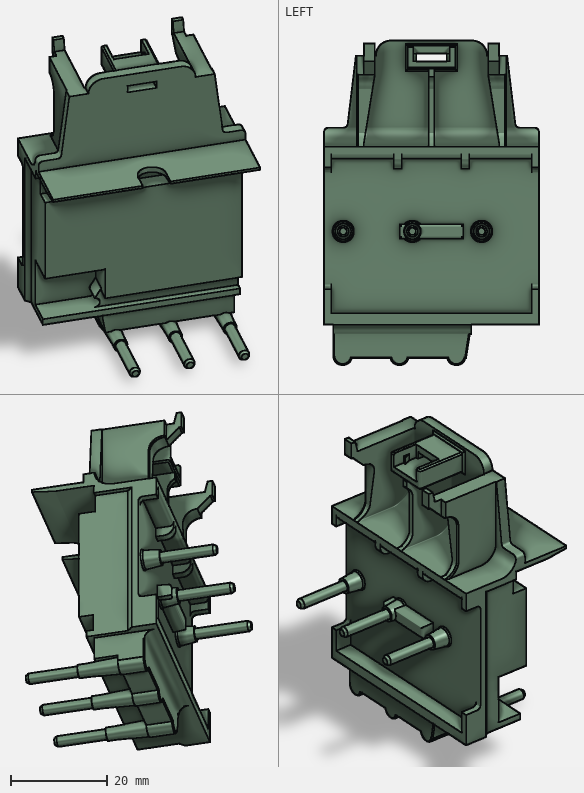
import cadquery as cq
import math


WIDTH = 44.8
HALF_WIDTH = WIDTH / 2
RIM_DEPTH = 5.3
SIDE_INSET = 1.06
STEP_TOP = 35.4
SHELF_TOP = 37.0
WALL_FRONT = 13.4
WALL_BACK = 15.7
BASE_BACK = 16.9
BASE_BACK_TOP = 31.4
BASE_BACK_BOTTOM = 5.3
FOOT_BACK = 15.3
FOOT_THICKNESS = 1.45
UNDERCUT_X = 9.55
UNDERCUT_TOP = 12.5
TERMINAL_END_Y = -8.3
TERMINAL_BACK = 13.85

RECESS_DEPTH = 3.86
RECESS_TOP = 34.5
RECESS_LIP_RADIUS = 0.95
RECESS_BOTTOM = 2.4
SIDE_RIM = 1.5
SIDE_GAP_BOTTOM = 7.4
SIDE_GAP_TOP = 32.7
SIDE_GAP_RADIUS = 1.0
TAB_WIDTH = 1.7
TAB_Y = 7.05
TAB_BOTTOM = 32.4

WALL_TOP = 59.15
WALL_CORNER = 3.2
WALL_TOP_HALF = 11.6
SHOULDER_TOP = 41.0
SHOULDER_ROUND = 1.0
FLARE_FOOT_HALF = 17.45
FLARE_TOP_HALF = 15.75
FLARE_RADIUS = 0.9
SHELF_FILLET = SHOULDER_TOP - SHELF_TOP
FLANGE_END = 26.75
FLANGE_TOP = 38.5
FLANGE_THICKNESS = 1.25
FLANGE_BOTTOM = FLANGE_TOP - FLANGE_THICKNESS
FLANGE_TIP_THICKNESS = 0.6
FLANGE_TAPER_START = 21.8
FLANGE_SLOT_RADIUS = 3.0
FLANGE_SLOT_X = 23.3

ARM_TOP = 56.0
ARM_OUTER = 15.6
ARM_EDGE_CHAMFER = 0.4
ARM_EDGE_DEPTH = 0.2
ARM_INNER_TOP = 11.8
ARM_INNER_FOOT = 14.2
ARM_SLOPE_TOP = 52.0
RIB_FRONT = 3.25
WAIST_TOP = 49.0
WAIST_BOTTOM = 39.9
WAIST_BEND_X = 2.05
WAIST_BEND_RISE = 0.9
HOOK_TIP = -3.25
HOOK_TOP = 58.55
HOOK_BOTTOM = 54.85
HOOK_INNER = ARM_INNER_TOP
HOOK_OUTER = 14.05
HOOK_FLAT = 0.45
HOOK_TOP_DEPTH = 1.05
HOOK_FOOT_DEPTH = 1.65
RIB_THICKNESS = 1.15
ROOT_FILLET = 0.3

BOX_FRONT = 1.65
BOX_HALF = 4.9
BOX_TOP = 58.05
BOX_BOTTOM = 53.2
BOX_ROOT_STEP = 0.45
BOX_ROOT_CHAMFER = 0.4
BOX_EDGE_CHAMFER = 0.35
BOX_FRONT_FILLET = 0.5
POCKET_HALF = 3.78
POCKET_BACK = 7.6
POCKET_FLOOR = 54.8
WINDOW_HALF = 3.15
WINDOW_TOP = 56.4
BARB_FRONT = 4.25
BARB_BACK = 5.8

SKIRT_LEFT = 20.5
SKIRT_RIGHT_FOOT = -7.2
SKIRT_BOTTOM = -7.0
SKIRT_BACK = 8.8
SKIRT_FILLET = 2.0
SKIRT_FRONT = 3.05
SKIRT_EDGE_CHAMFER = 0.25
TERMINAL_BOTTOM = -5.25
TERMINAL_KNEE = -1.6
TERMINAL_UPPER_Y = -8.0
TERMINAL_LOWER_Y = -7.4
CHEEK_TOP = 5.9
CHEEK_DEPTH = 1.4
CHEEK_OVERLAP = 1.0
GROOVE_RADIUS = 1.1
LOWER_PITCH = 11.83
LOWER_FIRST_Y = 18.5
LOWER_Z = -6.5
LOBE_RADIUS = 1.95
SLEEVE_RADIUS = 1.8
SLEEVE_TIP_RADIUS = 1.45
SLEEVE_CONE_END = 15.8
SLEEVE_END = 17.65
UPPER_PITCH = 14.4
UPPER_FIRST_Y = 18.38
UPPER_Z = 19.4
UPPER_SLEEVE_RADIUS = 2.05
UPPER_SLEEVE_FLARE = 0.2
UPPER_SLEEVE_TIP_RADIUS = 1.65
UPPER_SLEEVE_FLARE_LENGTH = 0.4
PIN_RADIUS = 1.15
PIN_CHAMFER_LENGTH = 0.65
PIN_CHAMFER_DEPTH = 0.4
UPPER_PIN_TIP = -12.0
LOWER_PIN_TIP = 28.9
LINK_X = 6.0
POLES = 3
UPPER_YS = [UPPER_FIRST_Y - i * UPPER_PITCH for i in range(POLES)]
LOWER_YS = [LOWER_FIRST_Y - i * LOWER_PITCH for i in range(POLES)]

KEY_HALF_LENGTH = 6.65
KEY_HEIGHT = 3.0
KEY_FRONT = 1.0
KEY_DRAFT = 3
KEY_EDGE_FILLET = 0.35


def box(x0, x1, y0, y1, z0, z1):
    """Box between the given limits."""
    return cq.Workplane("XY").box(x1 - x0, y1 - y0, z1 - z0, centered=False).translate((x0, y0, z0))


def side_profile(y0, y1):
    """Sketch plane XZ at y1; extruding by y1 - y0 fills the range y0 to y1."""
    return cq.Workplane("XZ", origin=(0, y1, 0)), y1 - y0


def both_sides(half):
    """A feature together with its mirror image across the middle plane."""
    return half.union(half.mirror("XZ"))


def cone(x0, r0, x1, r1, y, z):
    """Round bar along X whose radius goes from r0 at x0 to r1 at x1."""
    return (
        cq.Workplane("XY")
        .polyline([(x0, 0), (x0, r0), (x1, r1), (x1, 0)])
        .close()
        .revolve(360, (0, 0, 0), (1, 0, 0))
        .translate((0, y, z))
    )


def make_base():
    rim = box(0, RIM_DEPTH, -HALF_WIDTH, HALF_WIDTH, 0, SHELF_TOP)
    shelf = box(0, WALL_FRONT, -HALF_WIDTH, HALF_WIDTH, STEP_TOP, SHELF_TOP)
    inner = HALF_WIDTH - SIDE_INSET
    outline = [
        (RIM_DEPTH, -HALF_WIDTH),
        (RIM_DEPTH + SIDE_INSET, -inner),
        (BASE_BACK, -inner),
        (BASE_BACK, inner),
        (RIM_DEPTH + SIDE_INSET, inner),
        (RIM_DEPTH, HALF_WIDTH),
    ]
    core = cq.Workplane("XY").polyline(outline).close().extrude(STEP_TOP)
    core = core.cut(box(WALL_FRONT, BASE_BACK, -HALF_WIDTH, HALF_WIDTH, BASE_BACK_TOP, STEP_TOP))
    core = core.cut(box(FOOT_BACK, BASE_BACK, -HALF_WIDTH, HALF_WIDTH, 0, BASE_BACK_BOTTOM))
    core = core.cut(
        box(TERMINAL_BACK, BASE_BACK, -HALF_WIDTH, HALF_WIDTH, FOOT_THICKNESS, BASE_BACK_BOTTOM)
    )
    core = core.cut(
        box(UNDERCUT_X, BASE_BACK, -HALF_WIDTH, TERMINAL_END_Y, FOOT_THICKNESS, UNDERCUT_TOP)
    )
    return rim.union(shelf).union(core)


def make_lip(y0, y1, z, radius):
    """Space to remove so that the front lower edge at height z becomes round."""
    plane, length = side_profile(y0, y1)
    return (
        plane.moveTo(0, z)
        .lineTo(radius, z)
        .radiusArc((0, z + radius), radius)
        .close()
        .extrude(length)
    )


def make_recess():
    """Space to remove from the front of the base, with the tabs left standing."""
    inner = HALF_WIDTH - SIDE_RIM
    recess = box(0, RECESS_DEPTH, -inner, inner, RECESS_BOTTOM, RECESS_TOP)
    recess = recess.union(make_lip(-inner, inner, RECESS_TOP, RECESS_LIP_RADIUS))
    side_gap = box(0, RECESS_DEPTH, -HALF_WIDTH, HALF_WIDTH, SIDE_GAP_BOTTOM, SIDE_GAP_TOP)
    side_gap = side_gap.edges("|Y and >X").fillet(SIDE_GAP_RADIUS)
    recess = recess.union(side_gap)
    for y in (-TAB_Y, TAB_Y):
        y0 = y - TAB_WIDTH / 2
        y1 = y + TAB_WIDTH / 2
        tab = box(0, RECESS_DEPTH, y0, y1, TAB_BOTTOM, SHELF_TOP)
        recess = recess.cut(tab.cut(make_lip(y0, y1, TAB_BOTTOM, RECESS_TOP - TAB_BOTTOM)))
    return recess


def make_wall():
    """Upright wall with flared sides and rounded shoulders."""
    half = (
        cq.Workplane("YZ", origin=(WALL_FRONT, 0, 0))
        .moveTo(0, FLANGE_BOTTOM)
        .lineTo(HALF_WIDTH, FLANGE_BOTTOM)
        .lineTo(HALF_WIDTH, SHOULDER_TOP - SHOULDER_ROUND)
        .radiusArc((HALF_WIDTH - SHOULDER_ROUND, SHOULDER_TOP), -SHOULDER_ROUND)
        .lineTo(FLARE_FOOT_HALF + FLARE_RADIUS, SHOULDER_TOP)
        .radiusArc((FLARE_FOOT_HALF, SHOULDER_TOP + FLARE_RADIUS), FLARE_RADIUS)
        .lineTo(FLARE_TOP_HALF, ARM_TOP)
        .lineTo(WALL_TOP_HALF, ARM_TOP)
        .lineTo(WALL_TOP_HALF, WALL_TOP - WALL_CORNER)
        .radiusArc((WALL_TOP_HALF - WALL_CORNER, WALL_TOP), -WALL_CORNER)
        .lineTo(0, WALL_TOP)
        .close()
        .extrude(WALL_BACK - WALL_FRONT)
    )
    return both_sides(half)


def make_shelf_fillet(y0, y1):
    """Hollow round between the shelf and the wall."""
    plane, length = side_profile(y0, y1)
    return (
        plane.moveTo(WALL_FRONT, SHELF_TOP)
        .lineTo(WALL_FRONT - SHELF_FILLET, SHELF_TOP)
        .radiusArc((WALL_FRONT, SHOULDER_TOP), -SHELF_FILLET)
        .close()
        .extrude(length)
    )


def make_full_shelf_fillet():
    """Hollow round over the full width, its ends rounded like the shoulders of the wall."""
    rounded = box(0, WALL_FRONT, -HALF_WIDTH, HALF_WIDTH, 0, SHOULDER_TOP)
    rounded = rounded.edges("|X and >Z").fillet(SHOULDER_ROUND)
    return make_shelf_fillet(-HALF_WIDTH, HALF_WIDTH).intersect(rounded)


def make_flange():
    plane, length = side_profile(-HALF_WIDTH, HALF_WIDTH)
    flange = (
        plane.moveTo(WALL_FRONT, FLANGE_TOP)
        .lineTo(FLANGE_END, FLANGE_TOP)
        .lineTo(FLANGE_END, FLANGE_TOP - FLANGE_TIP_THICKNESS)
        .lineTo(FLANGE_TAPER_START, FLANGE_BOTTOM)
        .lineTo(WALL_FRONT, FLANGE_BOTTOM)
        .close()
        .extrude(length)
    )
    slot = (
        cq.Workplane("XY", origin=(FLANGE_SLOT_X, 0, FLANGE_BOTTOM))
        .circle(FLANGE_SLOT_RADIUS)
        .extrude(FLANGE_THICKNESS)
    )
    slot = slot.union(
        box(FLANGE_SLOT_X, FLANGE_END, -FLANGE_SLOT_RADIUS, FLANGE_SLOT_RADIUS, FLANGE_BOTTOM, FLANGE_TOP)
    )
    return flange.cut(slot)


def make_waisted_plate(outline, top, root_limit):
    """Plate in front of the wall with the given YZ outline.

    Its roots on the wall and shelf are filleted on the sides below root_limit in Y, and
    its front is hollowed to a waist between the shelf and its upper end.
    """
    plate = cq.Workplane("YZ").polyline(outline).close().extrude(WALL_FRONT)
    y0 = min(y for y, z in outline) - 2 * ROOT_FILLET
    y1 = max(y for y, z in outline) + 2 * ROOT_FILLET
    wall_strip = box(WALL_FRONT, WALL_BACK, y0, y1, STEP_TOP, top)
    shelf_strip = box(0, WALL_FRONT, y0, y1, STEP_TOP, SHELF_TOP)
    corner = wall_strip.union(shelf_strip).union(make_shelf_fillet(y0, y1))
    inside = ROOT_FILLET / 2
    root_area = cq.selectors.BoxSelector(
        (WALL_FRONT - inside, y0 + inside, SHOULDER_TOP + inside),
        (WALL_FRONT + inside, root_limit, top - inside),
    )
    rooted_plate = corner.union(plate).edges(root_area).fillet(ROOT_FILLET)

    plane, length = side_profile(y0, y1)
    bend = math.sin(math.pi / 4)
    waist_height = ARM_SLOPE_TOP - WAIST_TOP
    upper_bend = (RIB_FRONT * bend, WAIST_TOP + waist_height * bend)
    waisted = (
        plane.moveTo(WALL_FRONT, SHELF_TOP)
        .lineTo(0, SHELF_TOP)
        .threePointArc((WAIST_BEND_X, SHELF_TOP + WAIST_BEND_RISE), (RIB_FRONT, WAIST_BOTTOM))
        .lineTo(RIB_FRONT, WAIST_TOP)
        .threePointArc(upper_bend, (0, ARM_SLOPE_TOP))
        .lineTo(0, top)
        .lineTo(WALL_FRONT, top)
        .close()
        .extrude(length)
    )
    return rooted_plate.intersect(waisted)


def make_rib():
    half = RIB_THICKNESS / 2
    outline = [(half, SHELF_TOP), (half, BOX_BOTTOM), (-half, BOX_BOTTOM), (-half, SHELF_TOP)]
    rib = make_waisted_plate(outline, BOX_BOTTOM, RIB_THICKNESS)
    return rib.cut(box(0, BOX_FRONT, -HALF_WIDTH, HALF_WIDTH, WAIST_TOP, BOX_BOTTOM))


def make_arm():
    outline = [
        (ARM_OUTER, SHELF_TOP),
        (ARM_OUTER, ARM_TOP),
        (ARM_INNER_TOP, ARM_TOP),
        (ARM_INNER_TOP, ARM_SLOPE_TOP),
        (ARM_INNER_FOOT, SHELF_TOP),
    ]
    plate = make_waisted_plate(outline, ARM_TOP, ARM_INNER_FOOT)
    waist_edges = cq.selectors.BoxSelector(
        (ARM_EDGE_CHAMFER, ARM_OUTER - ARM_EDGE_CHAMFER, SHELF_TOP + ARM_EDGE_CHAMFER),
        (RIB_FRONT + ARM_EDGE_CHAMFER, ARM_OUTER + ARM_EDGE_CHAMFER, ARM_SLOPE_TOP),
    )
    plate = plate.edges(waist_edges).chamfer(ARM_EDGE_DEPTH, ARM_EDGE_CHAMFER)
    plane, length = side_profile(HOOK_INNER, HOOK_OUTER)
    hook = (
        plane.polyline(
            [
                (0, ARM_SLOPE_TOP),
                (HOOK_TIP + HOOK_FLAT, HOOK_BOTTOM),
                (HOOK_TIP, HOOK_BOTTOM),
                (HOOK_TIP, HOOK_TOP),
                (HOOK_TIP + HOOK_TOP_DEPTH, HOOK_TOP),
                (HOOK_TIP + HOOK_FOOT_DEPTH, ARM_TOP),
                (0, ARM_TOP),
            ]
        )
        .close()
        .extrude(length)
    )
    return plate.union(hook)


def make_latch_box():
    """Open box on the wall that holds two latch barbs."""
    shell = box(BOX_FRONT, WALL_FRONT, -BOX_HALF, BOX_HALF, BOX_BOTTOM, BOX_TOP)
    shell = shell.edges("|Z and <X").fillet(BOX_FRONT_FILLET)
    shell = shell.edges("|X").chamfer(BOX_EDGE_CHAMFER)
    root = (
        cq.Workplane("YZ", origin=(WALL_FRONT, 0, (BOX_TOP + BOX_BOTTOM) / 2))
        .rect(2 * (BOX_HALF + BOX_ROOT_STEP), BOX_TOP - BOX_BOTTOM + 2 * BOX_ROOT_STEP)
        .extrude(-BOX_ROOT_STEP)
        .faces("<X")
        .chamfer(BOX_ROOT_CHAMFER)
    )
    return shell.union(root)


def make_latch_pocket():
    pocket = box(BOX_FRONT, POCKET_BACK, -POCKET_HALF, POCKET_HALF, POCKET_FLOOR, BOX_TOP)
    barb = (
        cq.Workplane("XY", origin=(0, 0, POCKET_FLOOR))
        .polyline([(BARB_FRONT, POCKET_HALF), (BARB_FRONT, WINDOW_HALF), (BARB_BACK, POCKET_HALF)])
        .close()
        .extrude(WINDOW_TOP - POCKET_FLOOR)
    )
    window = box(POCKET_BACK, WALL_BACK, -WINDOW_HALF, WINDOW_HALF, POCKET_FLOOR, WINDOW_TOP)
    return pocket.cut(both_sides(barb)).union(window)


def make_skirt():
    """Terminal skirt below the base with a round lobe around every lower pin."""
    outline = [
        (SKIRT_LEFT, 0),
        (SKIRT_LEFT, LOWER_Z),
        (LOWER_FIRST_Y, SKIRT_BOTTOM),
        (SKIRT_RIGHT_FOOT, SKIRT_BOTTOM),
        (TERMINAL_END_Y, 0),
    ]
    depth = SKIRT_BACK - SKIRT_FRONT
    skirt = cq.Workplane("YZ", origin=(SKIRT_FRONT, 0, 0)).polyline(outline).close().extrude(depth)
    for y in LOWER_YS:
        skirt = skirt.union(cone(SKIRT_FRONT, LOBE_RADIUS, SKIRT_BACK, LOBE_RADIUS, y, LOWER_Z))
    skirt = skirt.faces("<X").chamfer(SKIRT_EDGE_CHAMFER)
    plane, length = side_profile(TERMINAL_END_Y, SKIRT_LEFT)
    root = (
        plane.lineTo(SKIRT_FRONT + SKIRT_EDGE_CHAMFER, 0)
        .lineTo(SKIRT_FRONT + SKIRT_EDGE_CHAMFER, -SKIRT_FILLET)
        .lineTo(SKIRT_FRONT, -SKIRT_FILLET)
        .radiusArc((SKIRT_FRONT - SKIRT_FILLET, 0), -SKIRT_FILLET)
        .close()
        .extrude(length)
    )
    return skirt.union(root)


def make_terminal_block():
    """Block behind the skirt; its -Y end carries a sloped cheek and a round groove above the foot."""
    lower = [
        (SKIRT_LEFT, 0),
        (SKIRT_LEFT, TERMINAL_BOTTOM),
        (TERMINAL_LOWER_Y, TERMINAL_BOTTOM),
        (TERMINAL_UPPER_Y, TERMINAL_KNEE),
        (TERMINAL_UPPER_Y, 0),
    ]
    block = (
        cq.Workplane("YZ", origin=(SKIRT_BACK, 0, 0))
        .polyline(lower)
        .close()
        .extrude(TERMINAL_BACK - SKIRT_BACK)
    )
    cheek_y = TERMINAL_END_Y - CHEEK_DEPTH
    groove_top = FOOT_THICKNESS + 2 * GROOVE_RADIUS
    cheek = (
        cq.Workplane("YZ", origin=(UNDERCUT_X, 0, 0))
        .moveTo(TERMINAL_END_Y, CHEEK_TOP)
        .lineTo(cheek_y, groove_top)
        .threePointArc(
            (cheek_y + GROOVE_RADIUS, FOOT_THICKNESS + GROOVE_RADIUS), (cheek_y, FOOT_THICKNESS)
        )
        .lineTo(TERMINAL_END_Y + CHEEK_OVERLAP, FOOT_THICKNESS)
        .lineTo(TERMINAL_END_Y + CHEEK_OVERLAP, CHEEK_TOP)
        .close()
        .extrude(TERMINAL_BACK - UNDERCUT_X)
    )
    return block.union(cheek)


def make_lower_sleeve(y):
    sleeve = cone(SKIRT_BACK, SLEEVE_RADIUS, SLEEVE_CONE_END, SLEEVE_TIP_RADIUS, y, LOWER_Z)
    return sleeve.union(
        cone(SLEEVE_CONE_END, SLEEVE_TIP_RADIUS, SLEEVE_END, SLEEVE_TIP_RADIUS, y, LOWER_Z)
    )


def make_upper_sleeve(y):
    flare_start = RECESS_DEPTH - UPPER_SLEEVE_FLARE_LENGTH
    root_radius = UPPER_SLEEVE_RADIUS + UPPER_SLEEVE_FLARE
    sleeve = cone(0, UPPER_SLEEVE_TIP_RADIUS, flare_start, UPPER_SLEEVE_RADIUS, y, UPPER_Z)
    return sleeve.union(cone(flare_start, UPPER_SLEEVE_RADIUS, RECESS_DEPTH, root_radius, y, UPPER_Z))


def make_key():
    """Bar with drafted sides standing on the recess floor."""
    return (
        cq.Workplane("YZ", origin=(RECESS_DEPTH, 0, UPPER_Z))
        .rect(2 * KEY_HALF_LENGTH, KEY_HEIGHT)
        .extrude(KEY_FRONT - RECESS_DEPTH, taper=KEY_DRAFT)
        .faces("<X")
        .edges()
        .fillet(KEY_EDGE_FILLET)
    )


def make_conductor(upper_y, lower_y):
    """Upper plug pin and lower pin joined by a straight round link inside the housing."""
    upper_tip = UPPER_PIN_TIP + PIN_CHAMFER_LENGTH
    lower_tip = LOWER_PIN_TIP - PIN_CHAMFER_LENGTH
    tip_radius = PIN_RADIUS - PIN_CHAMFER_DEPTH
    top = cq.Vector(LINK_X, upper_y, UPPER_Z)
    bottom = cq.Vector(LINK_X, lower_y, LOWER_Z)
    along = bottom - top
    conductor = cq.Workplane(cq.Solid.makeCylinder(PIN_RADIUS, along.Length, top, along))
    for corner in (top, bottom):
        conductor = conductor.union(cq.Workplane("XY").sphere(PIN_RADIUS).translate(corner.toTuple()))
    conductor = conductor.union(cone(upper_tip, PIN_RADIUS, LINK_X, PIN_RADIUS, upper_y, UPPER_Z))
    conductor = conductor.union(cone(UPPER_PIN_TIP, tip_radius, upper_tip, PIN_RADIUS, upper_y, UPPER_Z))
    conductor = conductor.union(cone(LINK_X, PIN_RADIUS, lower_tip, PIN_RADIUS, lower_y, LOWER_Z))
    return conductor.union(cone(lower_tip, PIN_RADIUS, LOWER_PIN_TIP, tip_radius, lower_y, LOWER_Z))


conductors = [make_conductor(upper, lower) for upper, lower in zip(UPPER_YS, LOWER_YS)]

housing = make_base()
for part in (make_wall(), make_full_shelf_fillet(), make_flange(), both_sides(make_arm()), make_rib()):
    housing = housing.union(part)
housing = housing.cut(make_recess())
housing = housing.union(make_latch_box()).cut(make_latch_pocket())
housing = housing.union(make_skirt()).union(make_terminal_block()).union(make_key())
for y in UPPER_YS:
    housing = housing.union(make_upper_sleeve(y))
for y in LOWER_YS:
    housing = housing.union(make_lower_sleeve(y))
for conductor in conductors:
    housing = housing.cut(conductor)

result = cq.Compound.makeCompound([housing.val(), *[conductor.val() for conductor in conductors]])